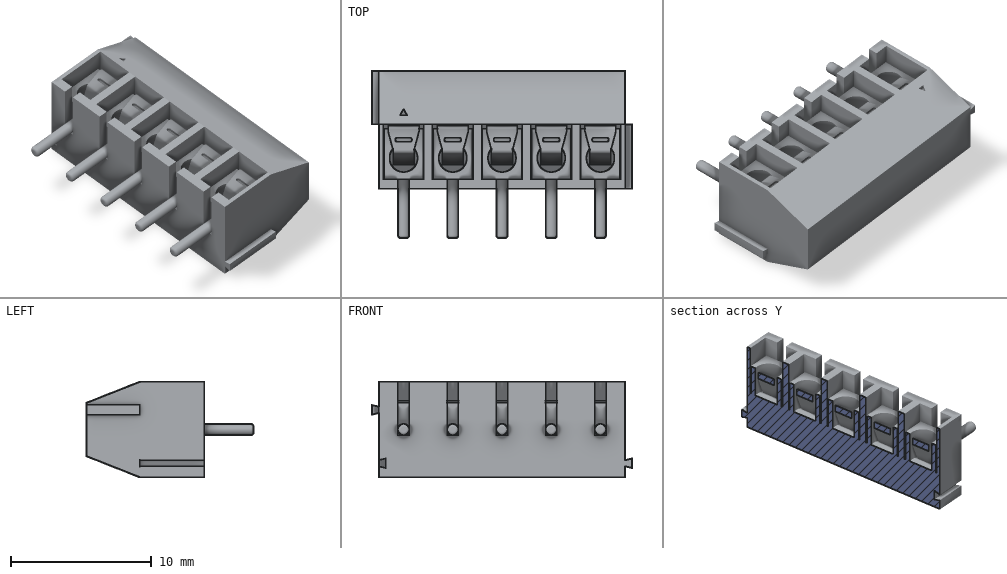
import cadquery as cq
import math

pole_count = 5
pole_pitch = 3.5
length = pole_count * pole_pitch
depth = 8.4
height = 6.8
flat_depth = 4.6
slope_drop = 1.5
front_y = -depth / 2
back_y = depth / 2
flat_back_y = front_y + flat_depth
top_z = height / 2

dovetail_reach = 0.5
dovetail_root = 0.45
dovetail_tip = 0.7
upper_dovetail_z = 1.4
lower_dovetail_z = -2.4

pin_diameter = 0.8
pin_length = 3.5
pin_rounding = 0.2

front_wall = 0.7
pocket_width = 2.9
pocket_front_y = front_y + front_wall
pocket_floor_z = -pin_diameter / 2

side_gap = 0.06
rear_gap = 0.3
block_width = pocket_width - 2 * side_gap
block_recess = 1.5
block_top_z = top_z - block_recess
block_back_y = flat_back_y - rear_gap
screw_diameter = 1.5

entry_diameter = 2.0
entry_y = front_y + 2.2
leaf_thickness = 0.15
leaf_top_z = block_top_z + leaf_thickness
leaf_wide = 2.2
leaf_narrow = 1.5
bend_radius = 0.26
bend_angle = 70
bend_start_y = front_y + 2.78
taper_start_y = front_y + 4.1
roll_start_y = front_y + 4.25
roll_radius = 0.25
window_length = 1.2
window_width = 0.3
window_depth = 0.2
window_y = front_y + 3.5

mark_width = 0.5
mark_length = 0.43
mark_depth = 0.1
mark_front_y = front_y + 5.25

bend_run = bend_radius * math.sin(math.radians(bend_angle))
bend_drop = bend_radius * (1 - math.cos(math.radians(bend_angle)))
tail_drop = leaf_top_z - bend_drop - pocket_floor_z
tail_run = tail_drop / math.tan(math.radians(bend_angle))
tail_end_y = bend_start_y - bend_run - tail_run


def box(x_size, y_range, z_range):
    """Box centred on X = 0 that spans the given Y and Z ranges."""
    size = (x_size, y_range[1] - y_range[0], z_range[1] - z_range[0])
    corner = (-x_size / 2, y_range[0], z_range[0])
    return cq.Workplane("XY").box(*size, centered=False).translate(corner)


def housing_body():
    """Block with a tapered rear, extruded along X."""
    rear_z = top_z - slope_drop
    profile = [
        (front_y, -top_z),
        (flat_back_y, -top_z),
        (back_y, -rear_z),
        (back_y, rear_z),
        (flat_back_y, top_z),
        (front_y, top_z),
    ]
    return cq.Workplane("YZ").polyline(profile).close().extrude(length / 2, both=True)


def dovetail(face_x, center_z, y_range):
    """Dovetail running along Y, narrow at face_x and widening towards +X."""
    tip_x = face_x + dovetail_reach
    profile = [
        (face_x, center_z - dovetail_root / 2),
        (tip_x, center_z - dovetail_tip / 2),
        (tip_x, center_z + dovetail_tip / 2),
        (face_x, center_z + dovetail_root / 2),
    ]
    bar = cq.Workplane("XZ").polyline(profile).close().extrude(y_range[0] - y_range[1])
    return bar.translate((0, y_range[0], 0))


def pole_one_mark(x):
    """Triangular prism sunk into the rear slope."""
    slope = slope_drop / (back_y - flat_back_y)
    lowest_z = top_z - slope * (mark_front_y + mark_length - flat_back_y) - mark_depth
    outline = [
        (x - mark_width / 2, mark_front_y),
        (x + mark_width / 2, mark_front_y),
        (x, mark_front_y + mark_length),
    ]
    return cq.Workplane("XY", origin=(0, 0, lowest_z)).polyline(outline).close().extrude(slope_drop)


def pocket():
    """Open-topped pocket and the slot that reaches it through the front wall."""
    z_range = (pocket_floor_z, top_z)
    cavity = box(pocket_width, (pocket_front_y, flat_back_y), z_range)
    slot = box(pin_diameter, (front_y, pocket_front_y), z_range)
    return cavity.union(slot)


def leaf_spring():
    """Strip lying on the block, rolled down at its rear and bent through the entry hole in front."""
    half_angle = math.radians(bend_angle / 2)
    bend_mid = (
        bend_start_y - bend_radius * math.sin(half_angle),
        leaf_top_z - bend_radius * (1 - math.cos(half_angle)),
    )
    roll_mid = (
        roll_start_y + roll_radius * math.sin(math.pi / 4),
        leaf_top_z - roll_radius * (1 - math.cos(math.pi / 4)),
    )
    side = (
        cq.Workplane("YZ")
        .moveTo(tail_end_y, pocket_floor_z)
        .lineTo(bend_start_y - bend_run, leaf_top_z - bend_drop)
        .threePointArc(bend_mid, (bend_start_y, leaf_top_z))
        .lineTo(roll_start_y, leaf_top_z)
        .threePointArc(roll_mid, (roll_start_y + roll_radius, leaf_top_z - roll_radius))
        .lineTo(block_back_y, leaf_top_z - roll_radius)
        .lineTo(block_back_y, block_top_z)
        .lineTo(bend_start_y, block_top_z)
        .lineTo(tail_end_y + leaf_thickness, pocket_floor_z)
        .close()
        .extrude(leaf_wide / 2, both=True)
    )
    outline = [
        (-leaf_narrow / 2, tail_end_y),
        (leaf_narrow / 2, tail_end_y),
        (leaf_narrow / 2, bend_start_y),
        (leaf_wide / 2, taper_start_y),
        (leaf_wide / 2, flat_back_y),
        (-leaf_wide / 2, flat_back_y),
        (-leaf_wide / 2, taper_start_y),
        (-leaf_narrow / 2, bend_start_y),
    ]
    plan = cq.Workplane("XY", origin=(0, 0, pocket_floor_z)).polyline(outline).close().extrude(height)
    return side.intersect(plan)


def clamp():
    """Clamp block with its wire entry hole, leaf spring, leaf window and rear screw."""
    block = box(block_width, (pocket_front_y, block_back_y), (pocket_floor_z, block_top_z))
    entry = (
        cq.Workplane("XY", origin=(0, entry_y, pocket_floor_z))
        .circle(entry_diameter / 2)
        .extrude(block_top_z - pocket_floor_z)
    )
    screw = (
        cq.Workplane("XZ", origin=(0, flat_back_y, 0))
        .circle(screw_diameter / 2)
        .extrude(rear_gap)
    )
    window = (
        cq.Workplane("XY", origin=(0, window_y, leaf_top_z))
        .slot2D(window_length, window_width)
        .extrude(-window_depth)
    )
    return block.cut(entry).union(leaf_spring()).union(screw).cut(window)


def pin():
    """Round pin from the clamp block out through the front slot, with a rounded tip."""
    return (
        cq.Workplane("XZ", origin=(0, pocket_front_y, 0))
        .circle(pin_diameter / 2)
        .extrude(front_wall + pin_length)
        .faces("<Y")
        .edges()
        .fillet(pin_rounding)
    )


first_pole_x = -(length - pole_pitch) / 2
rear_range = (flat_back_y, back_y)
front_range = (front_y, flat_back_y)

result = housing_body()
result = result.cut(dovetail(0, lower_dovetail_z, front_range).translate((-length / 2, 0, 0)))
result = result.union(dovetail(length / 2, lower_dovetail_z, front_range))
upper_rib = dovetail(length / 2, upper_dovetail_z, rear_range).mirror("YZ")
result = result.union(upper_rib)
result = result.cut(pole_one_mark(first_pole_x))

for pole in range(pole_count):
    pole_offset = (first_pole_x + pole * pole_pitch, 0, 0)
    result = result.cut(pocket().translate(pole_offset))
    result = result.union(clamp().translate(pole_offset))
    result = result.union(pin().translate(pole_offset))